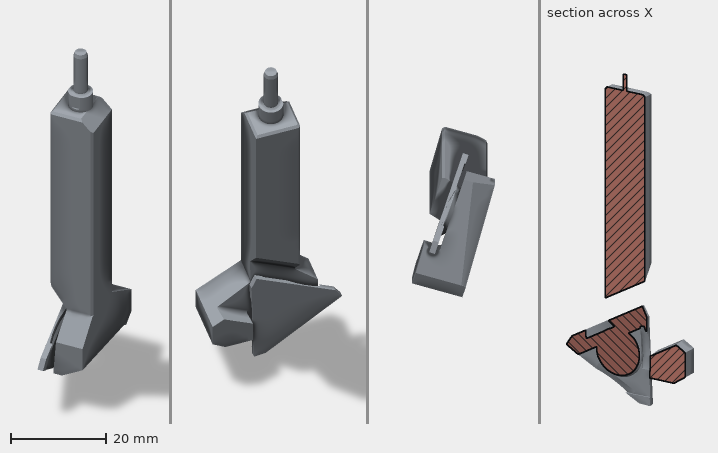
import cadquery as cq
import math


SHANK_WIDTH = 10.0
SHANK_HALF = SHANK_WIDTH / 2
SHANK_TOP = 63.25
SHANK_CHAMFER = 0.5
SHANK_BEVEL = 2.85

COLLAR_DIAMETER = 5.3
COLLAR_HEIGHT = 3.7
COLLAR_TOP = SHANK_TOP + COLLAR_HEIGHT
COLLAR_FLAT_DEPTH = 0.2
COLLAR_FLAT_HEIGHT = 2.85
PIN_DIAMETER = 3.0
PIN_LENGTH = 10.05
PIN_TIP_DIAMETER = 2.5
PIN_TIP_HEIGHT = 0.8
PIN_FOOT_DIAMETER = 4.0
PIN_FOOT_HEIGHT = 0.25

HEAD_WIDTH = 11.0
HEAD_RIGHT = SHANK_HALF
HEAD_LEFT = HEAD_RIGHT - HEAD_WIDTH
HEAD_BACK = 15.0
HEAD_FRONT = -10.05
HEAD_BACK_TOP = 7.45
HEAD_FRONT_TOP = 8.2
BACK_CHAMFER_DEPTH = 2.85
BACK_CHAMFER_HEIGHT = 1.9
FRONT_SLOPE = math.radians(45)
NECK_FILLET = 0.8
FRONT_CUT_HEIGHT = 2.8
BACK_CUT_HEIGHT = 0.6
CUT_SLOPE = math.radians(30)

SEAT_ANGLE = math.radians(30)
SEAT_TILT = math.radians(5)
SEAT_CENTER = (-1.85, -1.6, 4.1)
SEAT_TOP = 9.9
SEAT_SHOULDER = -3.2
SHOULDER_FRONT = 6.2
SEAT_FILLET = 0.4
SEAT_REACH = 33.5
SEAT_CUT_DEPTH = 10.05

EDGE_COUNT = 3
EDGE_TURN = 360 / EDGE_COUNT
EDGE_DISTANCE = 7.1
TIP_REACH = 11.0
INSERT_THICKNESS = 2.0
RIM_THICKNESS = 1.0
TIP_THICKNESS = 1.25
TIP_LENGTH = 2.0
END_FACE_RUN = 2.35
CORE_RADIUS = 5.5
CORE_CHAMFER = 0.8
SCOOP_RADIUS = 18.4
SCOOP_DEPTH = 0.7
SCOOP_OFFSET = 2.2
SCOOP_INSET = 1.7


def seat_plane():
    """Plane on the seat floor: x along the insert's upper edge, y toward the shank, z out of the seat."""
    along = cq.Vector(0, -math.cos(SEAT_ANGLE), -math.sin(SEAT_ANGLE))
    across = cq.Vector(0, -math.sin(SEAT_ANGLE), math.cos(SEAT_ANGLE))
    outward = cq.Vector(-math.cos(SEAT_TILT), 0, 0) + across * math.sin(SEAT_TILT)
    return cq.Plane(origin=SEAT_CENTER, xDir=along, normal=outward)


def make_shank():
    shank = (
        cq.Workplane("XY")
        .workplane(offset=HEAD_FRONT_TOP)
        .rect(SHANK_WIDTH, SHANK_WIDTH)
        .extrude(SHANK_TOP - HEAD_FRONT_TOP)
        .edges("|Z and <Y")
        .chamfer(SHANK_CHAMFER)
        .faces(">Z")
        .chamfer(SHANK_CHAMFER)
    )
    bevel = (
        cq.Workplane("XZ")
        .moveTo(SHANK_HALF, SHANK_TOP)
        .lineTo(SHANK_HALF - SHANK_BEVEL, SHANK_TOP)
        .lineTo(SHANK_HALF, SHANK_TOP - SHANK_BEVEL)
        .close()
        .extrude(SHANK_HALF, both=True)
    )
    return shank.cut(bevel)


def make_collar():
    radius = COLLAR_DIAMETER / 2
    collar = cq.Workplane("XY").workplane(offset=SHANK_TOP).circle(radius).extrude(COLLAR_HEIGHT)
    flat_bottom = COLLAR_TOP - COLLAR_FLAT_HEIGHT
    flat = (
        cq.Workplane("YZ")
        .moveTo(-radius, COLLAR_TOP)
        .lineTo(-radius + COLLAR_FLAT_DEPTH, COLLAR_TOP)
        .lineTo(-radius + COLLAR_FLAT_DEPTH, flat_bottom)
        .lineTo(-radius, flat_bottom - COLLAR_FLAT_DEPTH)
        .close()
        .extrude(radius, both=True)
    )
    return collar.cut(flat)


def make_pin():
    radius = PIN_DIAMETER / 2
    pin_top = COLLAR_TOP + PIN_LENGTH
    return (
        cq.Workplane("XZ")
        .moveTo(0, COLLAR_TOP)
        .lineTo(PIN_FOOT_DIAMETER / 2, COLLAR_TOP)
        .lineTo(radius, COLLAR_TOP + PIN_FOOT_HEIGHT)
        .lineTo(radius, pin_top - PIN_TIP_HEIGHT)
        .lineTo(PIN_TIP_DIAMETER / 2, pin_top)
        .lineTo(0, pin_top)
        .close()
        .revolve(360, (0, 0, 0), (0, 1, 0))
    )


def head_neck_height():
    """Height at which the sloping front of the head meets the shank."""
    return HEAD_FRONT_TOP + (-SHANK_HALF - HEAD_FRONT) * math.tan(FRONT_SLOPE)


def make_head():
    neck_back_height = HEAD_BACK_TOP + (HEAD_BACK - SHANK_HALF) * math.tan(SEAT_ANGLE)
    outline = [
        (HEAD_FRONT, 0),
        (HEAD_BACK - BACK_CHAMFER_DEPTH, 0),
        (HEAD_BACK, BACK_CHAMFER_HEIGHT),
        (HEAD_BACK, HEAD_BACK_TOP),
        (SHANK_HALF, neck_back_height),
        (-SHANK_HALF, head_neck_height()),
        (HEAD_FRONT, HEAD_FRONT_TOP),
    ]
    head = cq.Workplane("YZ").workplane(offset=HEAD_LEFT).polyline(outline).close().extrude(HEAD_WIDTH)
    return head.cut(make_corner_cut())


def make_neck_fillet():
    """Concave round where the shank front meets the head slope, as wide as the flat of the shank front."""
    neck_height = head_neck_height()
    tangent = NECK_FILLET * math.tan(FRONT_SLOPE / 2)
    slope_drop = tangent * math.sin(FRONT_SLOPE)
    slope_run = tangent * math.cos(FRONT_SLOPE)
    return (
        cq.Workplane("YZ")
        .workplane(offset=-SHANK_HALF)
        .moveTo(-SHANK_HALF, neck_height)
        .lineTo(-SHANK_HALF, neck_height + tangent)
        .radiusArc((-SHANK_HALF - slope_run, neck_height - slope_drop), NECK_FILLET)
        .close()
        .extrude(SHANK_WIDTH - SHANK_CHAMFER)
    )


def make_corner_cut():
    """Wedge under the +X edge of the head, high at the front and low at the back."""
    def section(y, height):
        corner = cq.Vector(HEAD_RIGHT, y, 0)
        inner = cq.Vector(HEAD_RIGHT - height / math.tan(CUT_SLOPE), y, 0)
        upper = cq.Vector(HEAD_RIGHT, y, height)
        return cq.Wire.makePolygon([corner, inner, upper], close=True)

    back = HEAD_BACK - BACK_CHAMFER_DEPTH
    return cq.Solid.makeLoft(
        [section(HEAD_FRONT, FRONT_CUT_HEIGHT), section(back, BACK_CUT_HEIGHT)], True
    )


def make_seat_cut():
    """Seat pocket with its shoulder behind the insert and its 45 degree runout into the shank."""
    drop = SEAT_CENTER[1] - SHOULDER_FRONT - SEAT_SHOULDER * math.sin(SEAT_ANGLE)
    shoulder_end = drop / math.cos(SEAT_ANGLE)
    side_run = SEAT_REACH * math.sin(SEAT_ANGLE)
    side_drop = SEAT_REACH * math.cos(SEAT_ANGLE)
    outline = [
        (-SEAT_REACH, SEAT_TOP),
        (-SEAT_REACH, SEAT_SHOULDER),
        (shoulder_end, SEAT_SHOULDER),
        (shoulder_end + side_run, SEAT_SHOULDER - side_drop),
        (SEAT_REACH, SEAT_SHOULDER - side_drop),
        (SEAT_REACH, SEAT_TOP),
    ]
    pocket = cq.Workplane("XY").polyline(outline).close().extrude(SEAT_CUT_DEPTH)
    runout = (
        cq.Workplane("YZ")
        .moveTo(SEAT_TOP, 0)
        .lineTo(SEAT_TOP + SEAT_CUT_DEPTH, SEAT_CUT_DEPTH)
        .lineTo(SEAT_TOP, SEAT_CUT_DEPTH)
        .close()
        .extrude(SEAT_REACH, both=True)
    )
    cutter = pocket.union(runout).faces("<Z").edges().fillet(SEAT_FILLET)
    return cutter.val().moved(cq.Location(seat_plane()))


def make_holder():
    body = make_shank().union(make_head()).union(make_neck_fillet()).cut(make_seat_cut())
    return body.union(make_collar()).union(make_pin()).solids().val()


def turned(point, degrees):
    angle = math.radians(degrees)
    x, y = point
    return (
        x * math.cos(angle) - y * math.sin(angle),
        x * math.sin(angle) + y * math.cos(angle),
    )


def insert_outline():
    """Clockwise outline: each long edge starts at a tip and ends at the end face of the next tip."""
    tip = (-TIP_REACH, EDGE_DISTANCE)
    next_tip = turned(tip, -EDGE_TURN)
    edge_end = (next_tip[0] - END_FACE_RUN, EDGE_DISTANCE)
    points = []
    for index in range(EDGE_COUNT):
        points.append(turned(tip, -index * EDGE_TURN))
        points.append(turned(edge_end, -index * EDGE_TURN))
    return points


def slab(thickness):
    """Full insert outline, measured down from the outer face."""
    base = cq.Workplane("XY").workplane(offset=INSERT_THICKNESS - thickness)
    return base.polyline(insert_outline()).close().extrude(thickness)


def make_scoop():
    """Shallow round hollow under the upper long edge of the rim."""
    rim_bottom = INSERT_THICKNESS - RIM_THICKNESS
    return (
        cq.Workplane("XZ")
        .workplane(offset=-EDGE_DISTANCE)
        .center(SCOOP_OFFSET, rim_bottom + SCOOP_DEPTH - SCOOP_RADIUS)
        .circle(SCOOP_RADIUS)
        .extrude(SCOOP_INSET)
    )


def make_tip():
    """Thicker cutting tip at the start of the upper long edge."""
    zone = (
        cq.Workplane("XY")
        .box(TIP_LENGTH, 2 * TIP_REACH, 2 * INSERT_THICKNESS)
        .translate((TIP_LENGTH / 2 - TIP_REACH, 0, 0))
    )
    return slab(TIP_THICKNESS).intersect(zone)


def on_edge(feature, index):
    """Feature of the upper long edge, turned to the long edge with this index."""
    return feature.rotate((0, 0, 0), (0, 0, 1), -index * EDGE_TURN)


def make_insert():
    """Insert with a flat outer face; its round core stands on the seat floor behind a thin rim."""
    insert = slab(RIM_THICKNESS)
    for index in range(EDGE_COUNT):
        insert = insert.cut(on_edge(make_scoop(), index))
    for index in range(EDGE_COUNT):
        insert = insert.union(on_edge(make_tip(), index))
    core = cq.Workplane("XY").circle(CORE_RADIUS).extrude(INSERT_THICKNESS).faces("<Z").chamfer(CORE_CHAMFER)
    return insert.union(core).solids().val().moved(cq.Location(seat_plane()))


holder = make_holder()
insert = make_insert()
result = cq.Compound.makeCompound([holder, insert])